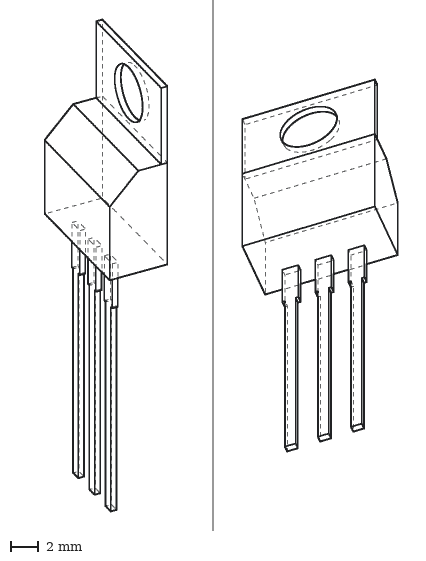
import cadquery as cq

total_height = 36.13
package_width = 10.15
package_depth = 4.65

housing_height = 8.6
bevel_depth = 2.3
bevel_height = 2.4

tab_height = 6.45
tab_thickness = 0.5
hole_diameter = 4.35
hole_below_top = 3.25

lead_count = 3
lead_pitch = 2.53
lead_thickness = 0.47
lead_back_offset = 3.0
shoulder_width = 1.23
shoulder_length = 3.8
pin_width = 0.83

housing_top = total_height - tab_height
housing_bottom = housing_top - housing_height
hole_height = total_height - hole_below_top
lead_back = package_depth - lead_back_offset


def make_housing():
    """Extrude the bevelled side profile across the package width."""
    return (
        cq.Workplane("YZ")
        .moveTo(0, housing_bottom)
        .lineTo(package_depth, housing_bottom)
        .lineTo(package_depth, housing_top)
        .lineTo(bevel_depth, housing_top)
        .lineTo(0, housing_top - bevel_height)
        .close()
        .extrude(package_width / 2, both=True)
    )


def make_tab():
    """Flat plate with a round mounting hole."""
    plate = cq.Workplane("XY").box(
        package_width, tab_thickness, tab_height, centered=(True, False, False)
    ).translate((0, package_depth - tab_thickness, housing_top))
    hole = (
        cq.Workplane("XZ", origin=(0, package_depth, 0))
        .center(0, hole_height)
        .circle(hole_diameter / 2)
        .extrude(tab_thickness)
    )
    return plate.cut(hole)


def make_lead(x):
    """Flat lead with a wide shoulder next to the housing and a narrow pin below."""
    shoulder_bottom = housing_bottom - shoulder_length
    half_shoulder = shoulder_width / 2
    half_pin = pin_width / 2
    return (
        cq.Workplane("XZ", origin=(x, lead_back, 0))
        .moveTo(-half_pin, 0)
        .lineTo(half_pin, 0)
        .lineTo(half_pin, shoulder_bottom)
        .lineTo(half_shoulder, shoulder_bottom)
        .lineTo(half_shoulder, housing_bottom)
        .lineTo(-half_shoulder, housing_bottom)
        .lineTo(-half_shoulder, shoulder_bottom)
        .lineTo(-half_pin, shoulder_bottom)
        .close()
        .extrude(lead_thickness)
    )


housing = make_housing()
tab = make_tab()
leads = [make_lead((i - (lead_count - 1) / 2) * lead_pitch) for i in range(lead_count)]

result = cq.Compound.makeCompound(
    [housing.val(), tab.val(), *[lead.val() for lead in leads]]
)